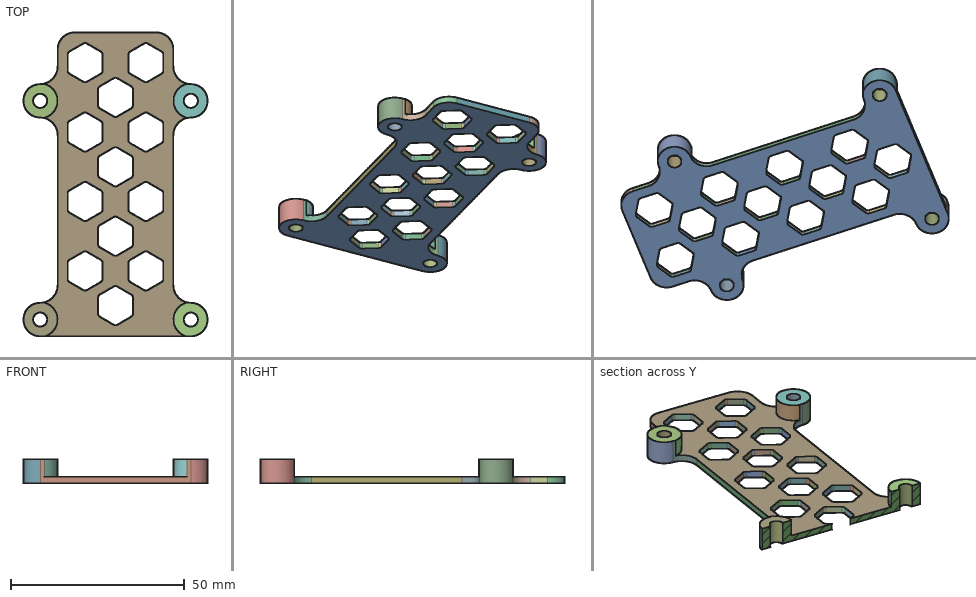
import cadquery as cq
import math

overall_width = 53.1
overall_length = 87.6
overall_height = 7.0
plate_thickness = 2.0

ear_radius = 4.85
standoff_radius = 5.0
screw_hole_diameter = 4.0
hole_spacing_y = 63.0
hole_x = overall_width / 2 - ear_radius

plate_half_width = hole_x - standoff_radius
plate_bottom = -ear_radius
plate_top = plate_bottom + overall_length
corner_radius = 5.0
ear_fillet_radius = hole_x - plate_half_width

hex_across_flats = 10.0
hex_circumscribed_diameter = hex_across_flats / math.cos(math.pi / 6)
hex_corner_radius = 1.0
hex_column_offset = 8.75
hex_row_pitch = 20.0
hex_rows = 4
center_column_start = 4.0
side_column_start = center_column_start + hex_row_pitch / 2

screw_positions = [(side * hole_x, y) for y in (0, hole_spacing_y) for side in (-1, 1)]


def rectangle_between(half_width, bottom, top, height):
    """Block centered on X that spans bottom to top in Y and stands on Z = 0."""
    block = cq.Workplane("XY").box(2 * half_width, top - bottom, height, centered=(True, False, False))
    return block.translate((0, bottom, 0))


def make_ear_bar(y, height):
    """Bar with round ends that joins the two screw positions at one Y."""
    bar = rectangle_between(hole_x, y - ear_radius, y + ear_radius, height)
    ends = (
        cq.Workplane("XY")
        .pushPoints([(-hole_x, y), (hole_x, y)])
        .circle(ear_radius)
        .extrude(height)
    )
    return bar.union(ends)


def make_ear_fillet(side, edge_y, direction):
    """Concave corner fill between a plate side and an ear edge, on the given Y side of the ear."""
    side_x = side * plate_half_width
    tangent_x = side * (plate_half_width + ear_fillet_radius)
    tangent_y = edge_y + direction * ear_fillet_radius
    arc_reach = ear_fillet_radius * math.sqrt(0.5)
    arc_middle = (tangent_x - side * arc_reach, tangent_y - direction * arc_reach)
    return (
        cq.Workplane("XY")
        .moveTo(side_x, edge_y)
        .lineTo(tangent_x, edge_y)
        .threePointArc(arc_middle, (side_x, tangent_y))
        .close()
        .extrude(overall_height)
    )


def make_outline_body():
    """Full-height body whose footprint is the complete plate outline."""
    body = rectangle_between(plate_half_width, plate_bottom, plate_top, overall_height)
    body = body.edges("|Z and >Y").fillet(corner_radius)
    for y in (0, hole_spacing_y):
        body = body.union(make_ear_bar(y, overall_height))
    for side in (-1, 1):
        body = body.union(make_ear_fillet(side, ear_radius, 1))
        body = body.union(make_ear_fillet(side, hole_spacing_y + ear_radius, 1))
        body = body.union(make_ear_fillet(side, hole_spacing_y - ear_radius, -1))
    return body


def make_plate_with_standoffs():
    """Thin plate with standoffs that are trimmed flush to the plate outline."""
    body = make_outline_body()
    slab = rectangle_between(overall_width, plate_bottom, plate_top, plate_thickness)
    columns = (
        cq.Workplane("XY")
        .pushPoints(screw_positions)
        .circle(standoff_radius)
        .extrude(overall_height)
    )
    return body.intersect(slab.union(columns))


def make_hex_windows():
    """Hexagonal cutters with rounded corners, where two corners of each point along Y."""
    positions = []
    for row in range(hex_rows):
        row_y = row * hex_row_pitch
        positions.append((0, center_column_start + row_y))
        for side in (-1, 1):
            positions.append((side * hex_column_offset, side_column_start + row_y))
    plane = cq.Plane(origin=(0, 0, 0), xDir=(0, 1, 0), normal=(0, 0, 1))
    return (
        cq.Workplane(plane)
        .pushPoints([(y, -x) for x, y in positions])
        .polygon(6, hex_circumscribed_diameter)
        .extrude(plate_thickness)
        .edges("|Z")
        .fillet(hex_corner_radius)
    )


def make_screw_holes():
    """Cutters for the through holes in the standoffs."""
    return (
        cq.Workplane("XY")
        .pushPoints(screw_positions)
        .circle(screw_hole_diameter / 2)
        .extrude(overall_height)
    )


result = make_plate_with_standoffs().cut(make_hex_windows()).cut(make_screw_holes())